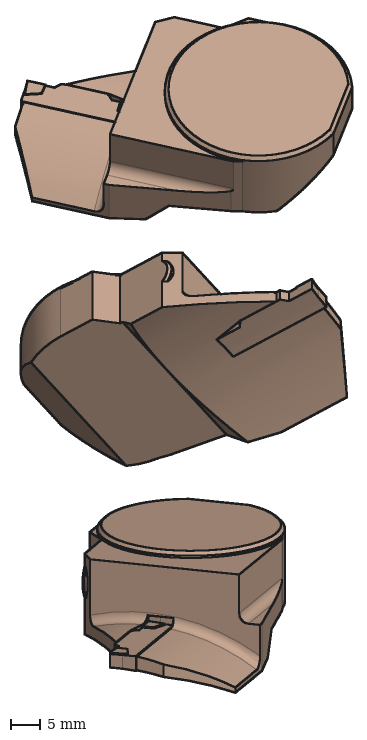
import cadquery as cq
import math


head_radius = 16.0
head_top = 13.7
head_chamfer = 0.7
head_flat_x = 15.0
relief_start_x = 7.45

block_top = 12.6
block_left = -21.55
block_back = 12.6
block_front = -16.25
tab_left = -6.55
tab_height = head_radius - block_back

arm_left = -40.45
arm_front = -20.0
arm_corner_y = -9.3
arm_corner_x = -34.2
slant_start_x = -20.6
slant_end_x = 0.0
slant_end_y = -16.4
blend_end_x = 1.85
blend_end_y = -math.sqrt(head_radius**2 - blend_end_x**2)
foot_relief_x = -10.5
under_radius = 47.7
under_crest = 0.0
upper_radius = 36.45
upper_crest = 2.5
step_fillet = 1.7

ledge_height = 4.05
ledge_fillet = 1.7

boss_radius = 4.5
boss_chamfer = 0.5
boss_left = -20.3
boss_height = 7.7
boss_length = 7.85

insert_tip_x = -41.1
insert_kink_x = -40.95
insert_kink_y = -2.0
insert_corner_x = -40.9
insert_heel_x = -21.3
insert_front = -4.45
insert_back = 0.15
insert_top = 2.4
pad_rise = 0.2
pad_length = 3.25
pad_taper = 0.1
pad_inner_y = -1.9
pad_outer_y = -2.9
pad_tip_inset = 0.5
lug_back = 1.35
lug_base_half = 5.1
lug_top_half = 4.1
seat_bevel_x = -23.0
seat_bevel_y = 0.5
seat_top = 3.7
insert_middle = (insert_tip_x + insert_heel_x) / 2

reach = 67.3
diagonal_low = (-34.55, lug_back)
diagonal_high = (-18.75, block_back)
diagonal_slope = (diagonal_high[1] - diagonal_low[1]) / (diagonal_high[0] - diagonal_low[0])
diagonal_tip_y = diagonal_low[1] + diagonal_slope * (arm_left - diagonal_low[0])


def prism(points, bottom, top):
    return cq.Workplane("XY").workplane(offset=bottom).polyline(points).close().extrude(top - bottom)


def box(x_range, y_range, z_range):
    size = [high - low for low, high in (x_range, y_range, z_range)]
    return cq.Workplane("XY").box(*size, centered=False).translate((x_range[0], y_range[0], z_range[0]))


def cylinder_along_x(radius, crest):
    circle = cq.Workplane("YZ").center(0, crest - radius).circle(radius)
    return circle.extrude(reach, both=True)


def make_head():
    head = cq.Workplane("XY").circle(head_radius).extrude(head_top)
    beyond_flat = box((head_flat_x, reach), (-reach, reach), (-reach, reach))
    head = head.cut(beyond_flat).faces(">Z").chamfer(head_chamfer)
    relief = (
        cq.Workplane("XZ")
        .polyline([(relief_start_x, 0), (relief_start_x + reach, 0), (relief_start_x + reach, reach)])
        .close()
        .extrude(reach, both=True)
    )
    return head.cut(relief)


def make_tab():
    points = [
        (tab_left - tab_height, block_back),
        (tab_left, head_radius),
        (0, head_radius),
        (0, 0),
        (tab_left - tab_height, 0),
    ]
    return prism(points, 0, block_top)


def make_boss():
    boss = cq.Workplane("XZ").circle(boss_radius).extrude(boss_length).faces(">Y").chamfer(boss_chamfer)
    return boss.translate((boss_left + boss_radius, block_back, boss_height))


def step_space():
    """Open space above the arm, rounded where it meets the block."""
    space = box((-reach, block_left), (-reach, reach), (-reach / 2, reach))
    space = space.cut(cylinder_along_x(upper_radius, upper_crest))
    arc = space.faces(">X").edges("%CIRCLE")
    return arc.fillet(step_fillet)


def ledge_space():
    space = box((-reach, reach), (-reach, block_front), (ledge_height, reach))
    return space.edges("|X and >Y and <Z").fillet(ledge_fillet)


def foot_relief():
    points = [(foot_relief_x - reach, -reach), (foot_relief_x, 0), (reach, 0), (reach, -reach)]
    return cq.Workplane("XZ").polyline(points).close().extrude(reach, both=True)


def heel_outline():
    """Bent heel end of the insert from front to back, mirroring its tip end."""
    tip_end = [(insert_corner_x, insert_front), (insert_kink_x, insert_kink_y), (insert_tip_x, insert_back)]
    return [(2 * insert_middle - x, y) for x, y in tip_end]


def insert_seat():
    points = [
        (-reach, insert_front),
        *heel_outline(),
        (seat_bevel_x, seat_bevel_y),
        (insert_middle + lug_top_half, lug_back),
        (-reach, lug_back),
    ]
    return prism(points, -reach, seat_top)


def make_holder():
    outline = [
        (arm_left, diagonal_tip_y),
        (arm_left, arm_corner_y),
        (arm_corner_x, arm_front),
        (slant_start_x, arm_front),
        (slant_end_x, slant_end_y),
        (blend_end_x, blend_end_y),
        (0, 0),
        (0, block_back),
        diagonal_high,
    ]
    holder = prism(outline, -reach / 4, block_top)
    holder = holder.cut(cylinder_along_x(under_radius, under_crest))
    for space in (foot_relief(), step_space(), ledge_space(), insert_seat()):
        holder = holder.cut(space)
    return holder.union(make_tab()).union(make_boss()).union(make_head())


def make_pad():
    """Raised pad at the tip end of the insert."""
    points = [
        (insert_tip_x, insert_back),
        (insert_tip_x + pad_length, insert_back),
        (insert_tip_x + pad_length - pad_taper, pad_inner_y),
        (insert_tip_x + pad_tip_inset, pad_outer_y),
    ]
    return prism(points, 0, insert_top + pad_rise)


def make_insert():
    outline = [
        (insert_tip_x, insert_back),
        (insert_kink_x, insert_kink_y),
        (insert_corner_x, insert_front),
        *heel_outline(),
        (insert_middle + lug_base_half, insert_back),
        (insert_middle + lug_top_half, lug_back),
        (insert_middle - lug_top_half, lug_back),
        (insert_middle - lug_base_half, insert_back),
    ]
    insert = prism(outline, -reach / 4, insert_top)
    insert = insert.cut(cylinder_along_x(under_radius, under_crest))
    tip_pad = make_pad()
    heel_pad = tip_pad.mirror("YZ", (insert_middle, 0, 0))
    return insert.union(tip_pad).union(heel_pad)


holder = make_holder()
insert = make_insert()
result = cq.Compound.makeCompound([holder.val(), insert.val()])